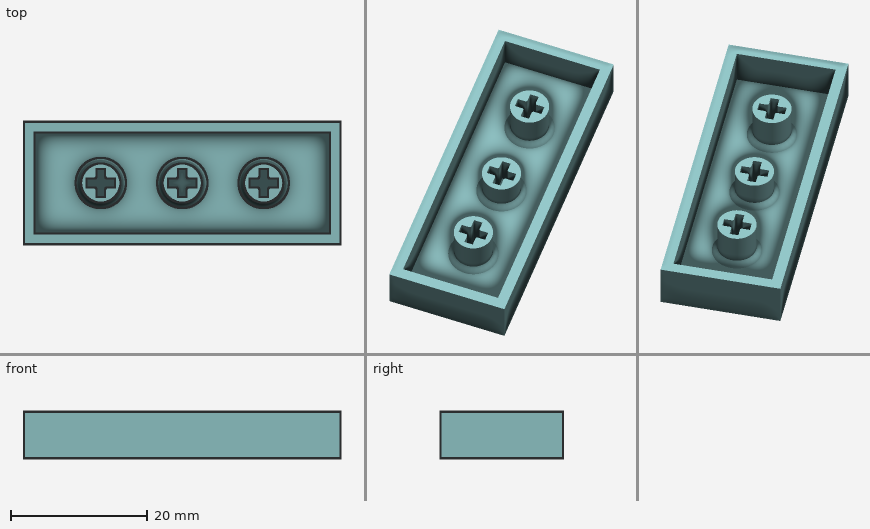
import cadquery as cq

length = 46.6
width = 18.05
height = 6.9
wall = 1.6
floor_thickness = 1.4

stem_count = 3
stem_spacing = 12.0
stem_diameter = 5.8
outer_stem_top = height
middle_stem_top = 5.87
flare_diameter = 7.4
flare_height = (flare_diameter - stem_diameter) / 2

cross_length = 4.15
cross_slot_width = 1.3
cross_corner_radius = 0.3


def make_tray():
    body = cq.Workplane("XY").box(length, width, height, centered=(True, True, False))
    cavity = (
        cq.Workplane("XY", origin=(0, 0, floor_thickness))
        .rect(length - 2 * wall, width - 2 * wall)
        .extrude(height - floor_thickness)
    )
    return body.cut(cavity)


def make_stem(stem_top):
    """Round post with a conical flare at its foot, on the Z axis."""
    stem_radius = stem_diameter / 2
    profile = [
        (0, 0),
        (flare_diameter / 2, 0),
        (flare_diameter / 2, floor_thickness),
        (stem_radius, floor_thickness + flare_height),
        (stem_radius, stem_top),
        (0, stem_top),
    ]
    return cq.Workplane("XZ").polyline(profile).close().revolve(360, (0, 0), (0, 1))


def make_socket(stem_top):
    """Cross-shaped cutter reaching from the stem top to the tray floor, on the Z axis."""
    depth = stem_top - floor_thickness
    base = cq.Workplane("XY", origin=(0, 0, floor_thickness))
    arm_along_x = base.rect(cross_length, cross_slot_width).extrude(depth)
    arm_along_y = base.rect(cross_slot_width, cross_length).extrude(depth)
    cross = arm_along_x.union(arm_along_y)
    inner_corners = cq.selectors.BoxSelector(
        (-cross_slot_width, -cross_slot_width, 0),
        (cross_slot_width, cross_slot_width, height),
    )
    return cross.edges("|Z").edges(inner_corners).fillet(cross_corner_radius)


result = make_tray()
middle_index = stem_count // 2
for index in range(stem_count):
    top = middle_stem_top if index == middle_index else outer_stem_top
    position = ((index - middle_index) * stem_spacing, 0, 0)
    result = result.union(make_stem(top).translate(position))
    result = result.cut(make_socket(top).translate(position))